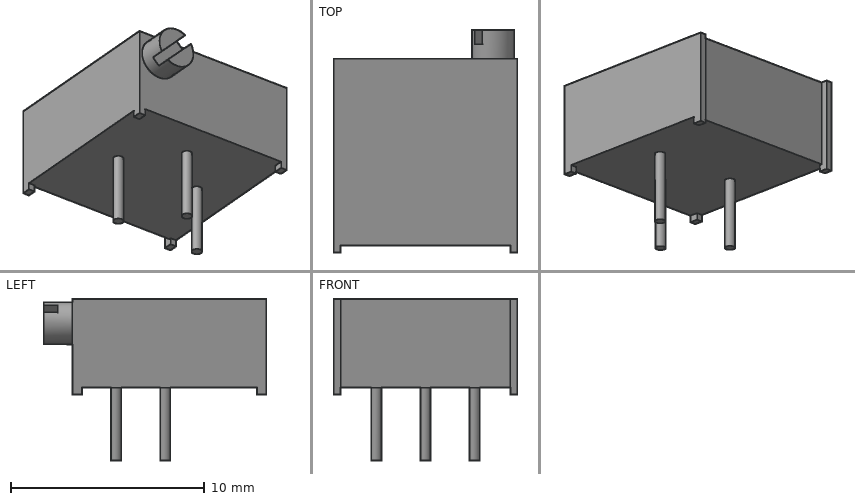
import cadquery as cq

WIDTH = 9.53
DEPTH = 10.05
HEIGHT = 4.97
FOOT_HEIGHT = 0.37
FOOT_WIDTH = 0.37
FOOT_DEPTH = 0.5
RECESS_DEPTH = 0.37

OVERALL_DEPTH = 11.55
SHAFT_DIAMETER = 2.2
SHAFT_LENGTH = OVERALL_DEPTH - DEPTH
SHAFT_X = 3.5
SHAFT_BELOW_TOP = 1.27
SLOT_WIDTH = 0.53
SLOT_DEPTH = 0.75
SLOT_ANGLE = 45.0

OVERALL_HEIGHT = 8.39
PIN_DIAMETER = 0.54
PIN_PITCH = 2.54
PIN_LENGTH = OVERALL_HEIGHT - HEIGHT + FOOT_HEIGHT
OUTER_PIN_INSET = 4.8
MIDDLE_PIN_INSET = OUTER_PIN_INSET - PIN_PITCH

BACK_Y = DEPTH
SHAFT_Z = HEIGHT - SHAFT_BELOW_TOP


def make_housing():
    block = cq.Workplane("XY").box(WIDTH, DEPTH, HEIGHT, centered=(True, False, False))
    inner_width = WIDTH - 2 * FOOT_WIDTH
    front_recess = cq.Workplane("XY").box(
        inner_width, RECESS_DEPTH, HEIGHT, centered=(True, False, False)
    )
    channel_along_depth = cq.Workplane("XY").box(
        inner_width, DEPTH, FOOT_HEIGHT, centered=(True, False, False)
    )
    channel_along_width = (
        cq.Workplane("XY")
        .box(WIDTH, DEPTH - 2 * FOOT_DEPTH, FOOT_HEIGHT, centered=(True, False, False))
        .translate((0, FOOT_DEPTH, 0))
    )
    return block.cut(front_recess).cut(channel_along_depth).cut(channel_along_width)


def make_shaft():
    shaft = cq.Workplane("XY").circle(SHAFT_DIAMETER / 2).extrude(SHAFT_LENGTH)
    slot = (
        cq.Workplane("XY")
        .box(SHAFT_DIAMETER, SLOT_WIDTH, SLOT_DEPTH, centered=(True, True, False))
        .rotate((0, 0, 0), (0, 0, 1), SLOT_ANGLE)
        .translate((0, 0, SHAFT_LENGTH - SLOT_DEPTH))
    )
    return (
        shaft.cut(slot)
        .rotate((0, 0, 0), (1, 0, 0), -90)
        .translate((SHAFT_X, BACK_Y, SHAFT_Z))
    )


def make_pin(x, inset):
    return (
        cq.Workplane("XY")
        .circle(PIN_DIAMETER / 2)
        .extrude(-PIN_LENGTH)
        .translate((x, BACK_Y - inset, FOOT_HEIGHT))
    )


housing = make_housing()
shaft = make_shaft()
pin_places = [
    (-PIN_PITCH, OUTER_PIN_INSET),
    (0, MIDDLE_PIN_INSET),
    (PIN_PITCH, OUTER_PIN_INSET),
]
pins = [make_pin(x, inset) for x, inset in pin_places]

result = cq.Compound.makeCompound([housing.val(), shaft.val(), *[pin.val() for pin in pins]])